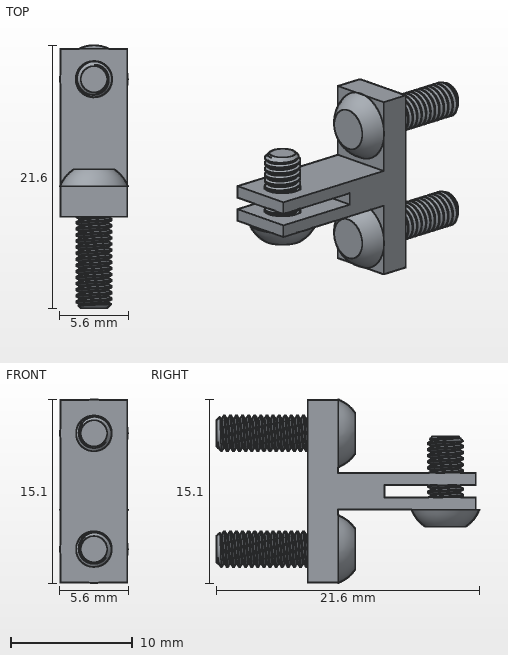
import cadquery as cq
import math

OVERALL_LENGTH = 21.6

PLATE_WIDTH = 5.5
PLATE_HEIGHT = 15.0
PLATE_THICKNESS = 2.5
ARM_LENGTH = 11.3
ARM_THICKNESS = 3.02
SLOT_WIDTH = 1.0
SLOT_DEPTH = 7.5

HEAD_DIAMETER = 5.6
HEAD_FLAT_DIAMETER = 3.35
HEAD_HEIGHT = 1.4
PLATE_SCREW_LENGTH = 10.0
CLAMP_SCREW_LENGTH = 6.0
TIP_CHAMFER = 0.39

THREAD_DIAMETER = 2.94
THREAD_DEPTH = 0.25
PLATE_SCREW_TURNS = 20
THREAD_PITCH = PLATE_SCREW_LENGTH / PLATE_SCREW_TURNS
ROOT_FLAT = 0.1
FLANK_ANGLE = 30
GROOVE_OVERCUT = 0.06
PLAIN_NECK = 0.48

PLATE_HOLE_DIAMETER = THREAD_DIAMETER
CLAMP_HOLE_DIAMETER = 3.0
PLATE_SCREW_SPACING = 9.5
CLAMP_SCREW_TURN = 120
PLATE_SCREW_REACH = PLATE_SCREW_LENGTH - PLATE_THICKNESS
CLAMP_AXIS_Y = OVERALL_LENGTH - PLATE_SCREW_REACH - HEAD_DIAMETER / 2


def make_bracket():
    """T-shaped bracket whose arm is split into two clamping leaves."""
    plate = cq.Workplane("XY").box(
        PLATE_WIDTH, PLATE_THICKNESS, PLATE_HEIGHT, centered=(True, False, True)
    )
    arm = (
        cq.Workplane("XY")
        .box(PLATE_WIDTH, ARM_LENGTH, ARM_THICKNESS, centered=(True, False, True))
        .translate((0, PLATE_THICKNESS, 0))
    )
    slot_start = PLATE_THICKNESS + ARM_LENGTH - SLOT_DEPTH
    slot = (
        cq.Workplane("XY")
        .box(PLATE_WIDTH, SLOT_DEPTH, SLOT_WIDTH, centered=(True, False, True))
        .translate((0, slot_start, 0))
    )
    plate_holes = (
        cq.Workplane("XZ")
        .pushPoints([(0, -PLATE_SCREW_SPACING / 2), (0, PLATE_SCREW_SPACING / 2)])
        .circle(PLATE_HOLE_DIAMETER / 2)
        .extrude(-PLATE_THICKNESS)
    )
    clamp_hole = (
        cq.Workplane("XY")
        .center(0, CLAMP_AXIS_Y)
        .circle(CLAMP_HOLE_DIAMETER / 2)
        .extrude(ARM_THICKNESS / 2, both=True)
    )
    return plate.union(arm).cut(slot).cut(plate_holes).cut(clamp_hole)


def make_blank(length):
    """Unthreaded screw along +Z with the underside of its spherical head on Z = 0."""
    head_radius = HEAD_DIAMETER / 2
    flat_radius = HEAD_FLAT_DIAMETER / 2
    shank_radius = THREAD_DIAMETER / 2
    sphere_centre = (head_radius**2 - flat_radius**2 - HEAD_HEIGHT**2) / (2 * HEAD_HEIGHT)
    sphere_radius = math.hypot(head_radius, sphere_centre)
    mid_z = -HEAD_HEIGHT / 2
    mid_radius = math.sqrt(sphere_radius**2 - (mid_z - sphere_centre) ** 2)
    return (
        cq.Workplane("XZ")
        .moveTo(0, -HEAD_HEIGHT)
        .lineTo(flat_radius, -HEAD_HEIGHT)
        .threePointArc((mid_radius, mid_z), (head_radius, 0))
        .lineTo(shank_radius, 0)
        .lineTo(shank_radius, length - TIP_CHAMFER)
        .lineTo(shank_radius - TIP_CHAMFER, length)
        .lineTo(0, length)
        .close()
        .revolve(360, (0, 0, 0), (0, 1, 0))
    )


def make_groove(length):
    """Helical cutter that runs from the neck out past the tip, closed by a flat cap at each end.

    Each turn has its own ruled faces, one between every two neighbouring corner helices.
    """
    root_radius = THREAD_DIAMETER / 2 - THREAD_DEPTH
    outer_radius = THREAD_DIAMETER / 2 + GROOVE_OVERCUT
    half_root = ROOT_FLAT / 2
    half_mouth = half_root + (outer_radius - root_radius) * math.tan(math.radians(FLANK_ANGLE))
    corners = [
        cq.Vector(root_radius, 0, PLAIN_NECK - half_root),
        cq.Vector(outer_radius, 0, PLAIN_NECK - half_mouth),
        cq.Vector(outer_radius, 0, PLAIN_NECK + half_mouth),
        cq.Vector(root_radius, 0, PLAIN_NECK + half_root),
    ]
    helices = [
        cq.Wire.makeHelix(THREAD_PITCH, THREAD_PITCH, corner.x, cq.Vector(0, 0, corner.z))
        for corner in corners
    ]
    turns = math.ceil((length - PLAIN_NECK) / THREAD_PITCH) + 1
    faces = []
    for turn in range(turns):
        rise = cq.Vector(0, 0, turn * THREAD_PITCH)
        for lower, upper in zip(helices, helices[1:] + helices[:1]):
            faces.append(cq.Face.makeRuledSurface(lower, upper).translate(rise))
    cap = cq.Face.makeFromWires(cq.Wire.makePolygon(corners, close=True))
    faces.append(cap)
    faces.append(cap.translate(cq.Vector(0, 0, turns * THREAD_PITCH)))
    groove = cq.Solid.makeSolid(cq.Shell.makeShell(faces)).fix()
    return cq.Workplane(obj=groove)


def make_screw(length):
    """Threaded button-head screw along +Z with the underside of its head on Z = 0."""
    return make_blank(length).cut(make_groove(length))


bracket = make_bracket()

plate_screw = make_screw(PLATE_SCREW_LENGTH).rotate((0, 0, 0), (1, 0, 0), 90)
plate_screws = []
for side in (-1, 1):
    place = (0, PLATE_THICKNESS, side * PLATE_SCREW_SPACING / 2)
    plate_screws.append(plate_screw.translate(place).val())

clamp_screw = (
    make_screw(CLAMP_SCREW_LENGTH)
    .rotate((0, 0, 0), (0, 0, 1), CLAMP_SCREW_TURN)
    .translate((0, CLAMP_AXIS_Y, -ARM_THICKNESS / 2))
)

result = cq.Compound.makeCompound([bracket.val(), *plate_screws, clamp_screw.val()])